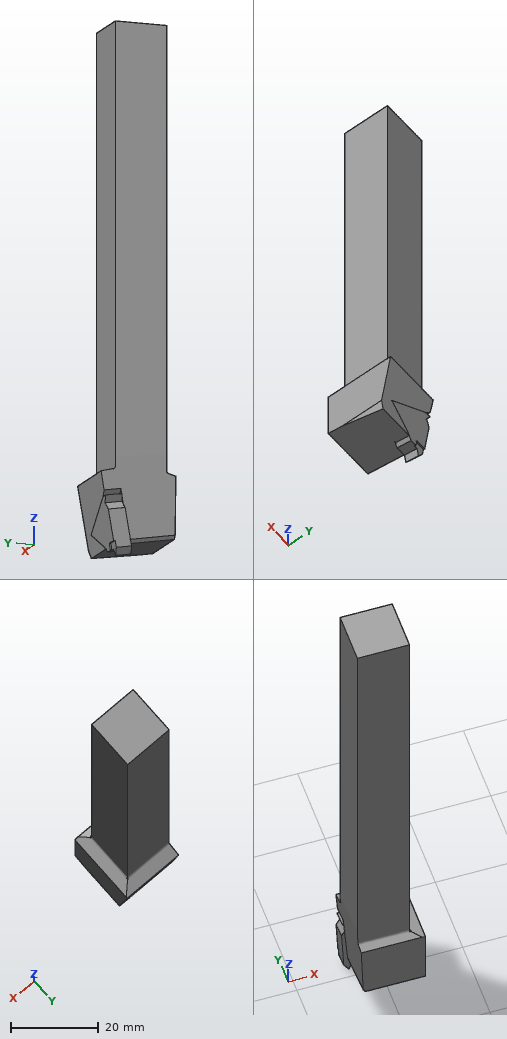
import cadquery as cq
import math

total_length = 126.0
shank_width = 12.6

head_right = 15.7
head_front = -2.3
shoulder_z = 20.4
shoulder_slope = 15.0
shoulder_fillet = 0.5
root_reach = 0.1
head_bottom = 2.5
corner_cut_width = 1.0
corner_cut_top = 4.4
corner_cut_base = 2.4
left_bevel_x = 0.5
left_bevel_z = 0.9
relief_start = 22.5
relief_angle = 2.0

seat_lean = 10.0
seat_y = 12.6

insert_thickness = 4.2
insert_left = -0.4
insert_edge = 1.6
tip_x = 0.8
tip_half_width = 0.9
rake_recess = 0.4
rake_width = 2.5
flat_top = 10.7
notch = (0.9, 12.5)
upper_tip = (0.0, 14.1)
seat_top = (1.5, 14.1)
far_corner = (12.6, 7.5)
lower_step = [(5.8, 3.1), (4.3, insert_edge)]
slot_mouth_z = 15.4

seat_z = -rake_recess * math.sin(math.radians(seat_lean))

margin = 25.2


def in_seat_frame(shape):
    """Lean a shape built in the seat frame and move it to the seat."""
    return shape.rotate((0, 0, 0), (1, 0, 0), -seat_lean).translate((0, seat_y, seat_z))


def seat_prism(points, front, back):
    """Extrude an X-Z outline from y = front to y = back in the seat frame."""
    prism = cq.Workplane("XZ", origin=(0, back, 0)).polyline(points).close().extrude(back - front)
    return in_seat_frame(prism)


def shoulder_envelope():
    """Pyramid whose sloping sides are the shoulders on the front, back and right."""
    spread = shoulder_z / math.tan(math.radians(shoulder_slope))
    wires = []
    for z, grow in ((0, spread), (shoulder_z, 0)):
        outline = [
            (-margin, -grow),
            (shank_width + grow, -grow),
            (shank_width + grow, shank_width + grow),
            (-margin, shank_width + grow),
        ]
        wires.append(cq.Workplane("XY", origin=(0, 0, z)).polyline(outline).close().val())
    return cq.Workplane(cq.Solid.makeLoft(wires, True))


def make_head():
    """Head with a leaning back and bottom, and a bevelled lower left edge."""
    outline = [
        (left_bevel_x + relief_depth(head_bottom), head_bottom),
        (head_right, head_bottom),
        (head_right, margin),
        (0, margin),
        (0, head_bottom + left_bevel_z),
        (relief_depth(head_bottom), head_bottom + left_bevel_z),
    ]
    leaning = seat_prism(outline, -margin, 0)
    front_limit = cq.Workplane("XY").box(2 * margin, margin, 2 * margin, centered=(True, False, True))
    return leaning.intersect(front_limit.translate((0, head_front, 0))).intersect(shoulder_envelope())


def relief_depth(z):
    """Depth of the left relief at height z in the seat frame."""
    return (relief_start - z) * math.tan(math.radians(relief_angle))


def make_corner_cut():
    """Bevel along Y that trims the lower right edge where the bottom slopes down to the back."""
    slope = corner_cut_width / (corner_cut_top - corner_cut_base)
    corner = [
        (head_right, corner_cut_top),
        (head_right, 0),
        (head_right - corner_cut_top * slope, 0),
    ]
    return cq.Workplane("XZ", origin=(0, margin, 0)).polyline(corner).close().extrude(2 * margin)


def make_relief():
    """Wedge removed from the left side so that it slopes inwards below the shank."""
    wedge = [(0, relief_start), (relief_depth(-margin), -margin), (-margin, -margin), (-margin, relief_start)]
    return seat_prism(wedge, -margin, margin)


def make_pocket():
    """Seat for the insert, open to the left, the back and the bottom."""
    outline = [
        (-margin, slot_mouth_z),
        (relief_depth(slot_mouth_z), slot_mouth_z),
        seat_top,
        far_corner,
        *lower_step,
        (lower_step[-1][0], -margin),
        (-margin, -margin),
    ]
    return seat_prism(outline, -insert_thickness, margin)


def make_insert():
    """Grooving insert with a pointed lower tip, ground back on its rake face."""
    outline = [
        (tip_x, 0),
        (insert_left, insert_edge),
        (insert_left, flat_top),
        notch,
        upper_tip,
        seat_top,
        far_corner,
        *lower_step,
        (tip_x + tip_half_width, insert_edge),
    ]
    rake_top = 2 * insert_edge
    rake = [(-margin, -margin), (rake_width, -margin), (rake_width, rake_top), (-margin, rake_top)]
    return seat_prism(outline, -insert_thickness, 0).cut(seat_prism(rake, -rake_recess, margin))


def make_holder():
    """Square shank and head in one piece, with the insert pocket."""
    shank = cq.Workplane("XY", origin=(0, 0, shoulder_z)).rect(shank_width, shank_width, centered=False)
    holder = shank.extrude(total_length - shoulder_z).union(make_head())
    root = cq.selectors.BoxSelector(
        (shank_width / 4, -root_reach, shoulder_z - root_reach),
        (shank_width + root_reach, shank_width + root_reach, shoulder_z + root_reach),
    )
    holder = holder.edges(root).fillet(shoulder_fillet)
    return holder.cut(make_corner_cut()).cut(make_relief()).cut(make_pocket())


holder = make_holder()
insert = make_insert()

result = cq.Compound.makeCompound([holder.val(), insert.val()])